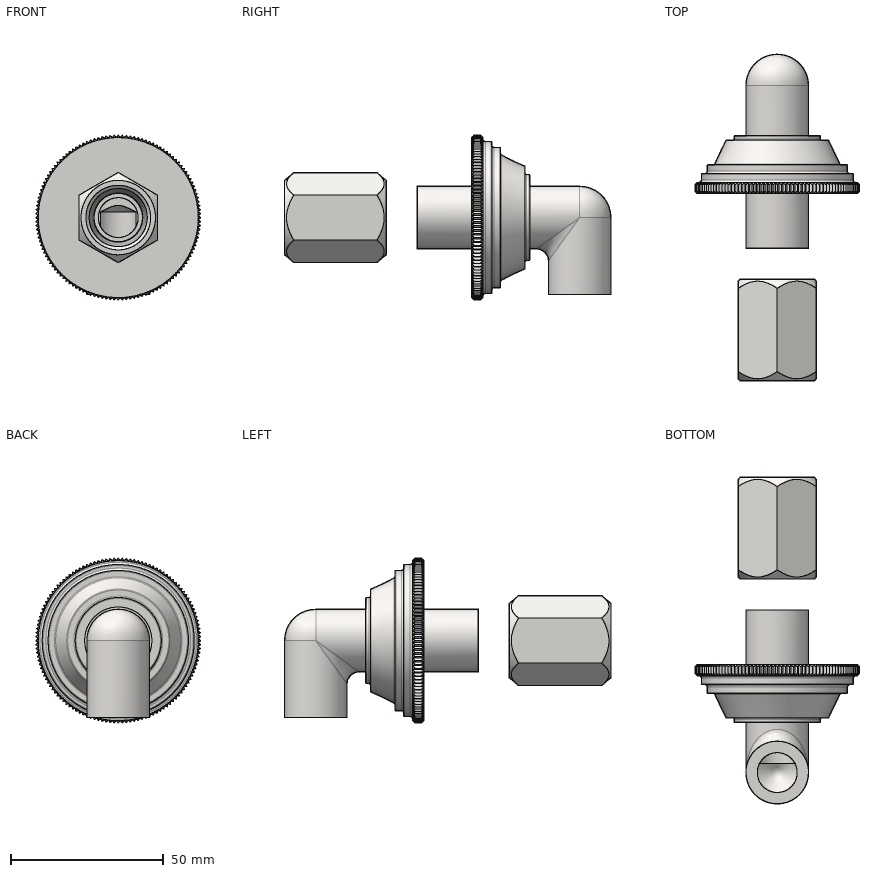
import cadquery as cq
import math


TUBE_RADIUS = 10.3
TUBE_BORE_RADIUS = 6.5
TUBE_MOUTH_RADIUS = 7.9
TUBE_END_Y = -17.9
TUBE_MOUTH_DEPTH = -TUBE_END_Y
LEG_AXIS_Y = 35.4
LEG_BOTTOM_Z = -25.3
INNER_CORNER_RADIUS = 3.9
BORE_SETBACK = 2.9
LEG_BORE_TOP_Z = 1.8
DRILL_POINT_ANGLE = 118

KNURL_DIAMETER = 54.0
KNURL_RADIUS = KNURL_DIAMETER / 2
KNURL_ROOT_RADIUS = 26.2
KNURL_WIDTH = 3.7
KNURL_CHAMFER = 0.9
TOOTH_COUNT = 128
WIDE_STEP_RADIUS = 24.9
WIDE_STEP_BACK_Y = 6.6
NARROW_STEP_RADIUS = 23.0
NARROW_STEP_BACK_Y = 9.5
CONE_BASE_RADIUS = 20.7
CONE_TOP_RADIUS = 16.8
CONE_TOP_Y = 17.5
COLLAR_RADIUS = 14.1
COLLAR_BACK_Y = 19.0
FLANGE_HOLE_RADIUS = 11.0
STEP_FILLET = 0.7
CONE_FILLET = 0.4
EDGE_ROUND = 0.3

NUT_WIDTH = 25.6
HEXAGON_TURN = 30
NUT_FRONT_Y = -61.3
NUT_BACK_Y = -27.9
NUT_FACE_RADIUS = 12.2
NUT_CHAMFER_ANGLE = 40
NUT_MOUTH_RADIUS = 10.6
NUT_MOUTH_DEPTH = 1.1
NUT_BORE_FRONT_RADIUS = 9.5
NUT_BORE_BACK_RADIUS = 8.0


def revolved(profile):
    """Turn a closed outline of (radius, y) points about the Y axis."""
    return cq.Workplane("XY").polyline(profile).close().revolve(360, (0, 0, 0), (0, 1, 0))


def cylinder_y(radius, start, end):
    return revolved([(0, start), (radius, start), (radius, end), (0, end)])


def make_elbow():
    leg_plane = cq.Workplane("XY", origin=(0, LEG_AXIS_Y, LEG_BOTTOM_Z))
    tube = cylinder_y(TUBE_RADIUS, TUBE_END_Y, LEG_AXIS_Y)
    leg = leg_plane.circle(TUBE_RADIUS).extrude(-LEG_BOTTOM_Z)
    corner = cq.Workplane("XY").sphere(TUBE_RADIUS).translate((0, LEG_AXIS_Y, 0))
    body = tube.union(leg).union(corner)
    inner = cq.NearestToPointSelector((0, LEG_AXIS_Y - TUBE_RADIUS, -TUBE_RADIUS))
    body = body.edges(inner).fillet(INNER_CORNER_RADIUS)

    tube_bore = cylinder_y(TUBE_BORE_RADIUS, TUBE_END_Y, LEG_AXIS_Y - BORE_SETBACK)
    mouth = cylinder_y(TUBE_MOUTH_RADIUS, TUBE_END_Y, TUBE_END_Y + TUBE_MOUTH_DEPTH)
    point_height = TUBE_BORE_RADIUS / math.tan(math.radians(DRILL_POINT_ANGLE / 2))
    leg_bore = (
        cq.Workplane("XZ")
        .moveTo(0, LEG_BOTTOM_Z)
        .lineTo(TUBE_BORE_RADIUS, LEG_BOTTOM_Z)
        .lineTo(TUBE_BORE_RADIUS, LEG_BORE_TOP_Z)
        .lineTo(0, LEG_BORE_TOP_Z + point_height)
        .close()
        .revolve(360, (0, 0, 0), (0, 1, 0))
        .translate((0, LEG_AXIS_Y, 0))
    )
    return body.cut(mouth).cut(tube_bore).cut(leg_bore)


def circle_edges(body, radius, y):
    """Select the circular edge of the given radius in the plane at y."""
    near = 0.01
    return body.edges("%CIRCLE").filter(
        lambda edge: abs(edge.radius() - radius) < near and abs(edge.Center().y - y) < near
    )


def make_stepped_flange():
    body = revolved([
        (0, 0),
        (KNURL_ROOT_RADIUS, 0),
        (KNURL_ROOT_RADIUS, KNURL_WIDTH),
        (WIDE_STEP_RADIUS, KNURL_WIDTH),
        (WIDE_STEP_RADIUS, WIDE_STEP_BACK_Y),
        (NARROW_STEP_RADIUS, WIDE_STEP_BACK_Y),
        (NARROW_STEP_RADIUS, NARROW_STEP_BACK_Y),
        (CONE_BASE_RADIUS, NARROW_STEP_BACK_Y),
        (CONE_TOP_RADIUS, CONE_TOP_Y),
        (COLLAR_RADIUS, CONE_TOP_Y),
        (COLLAR_RADIUS, COLLAR_BACK_Y),
        (0, COLLAR_BACK_Y),
    ])
    rounded_edges = [
        (WIDE_STEP_RADIUS, KNURL_WIDTH, STEP_FILLET),
        (NARROW_STEP_RADIUS, WIDE_STEP_BACK_Y, STEP_FILLET),
        (CONE_BASE_RADIUS, NARROW_STEP_BACK_Y, CONE_FILLET),
        (COLLAR_RADIUS, CONE_TOP_Y, CONE_FILLET),
        (WIDE_STEP_RADIUS, WIDE_STEP_BACK_Y, EDGE_ROUND),
        (NARROW_STEP_RADIUS, NARROW_STEP_BACK_Y, EDGE_ROUND),
        (CONE_TOP_RADIUS, CONE_TOP_Y, EDGE_ROUND),
        (COLLAR_RADIUS, COLLAR_BACK_Y, EDGE_ROUND),
    ]
    for radius, y, rounding in rounded_edges:
        body = circle_edges(body, radius, y).fillet(rounding)
    return body


def make_knurl():
    """Ring of triangular teeth, chamfered at both ends."""
    half_pitch = math.pi / TOOTH_COUNT
    outline = []
    for corner in range(2 * TOOTH_COUNT):
        radius = KNURL_RADIUS if corner % 2 == 0 else KNURL_ROOT_RADIUS
        angle = corner * half_pitch
        outline.append((radius * math.cos(angle), radius * math.sin(angle)))
    teeth = cq.Workplane("XZ").polyline(outline).close().extrude(-KNURL_WIDTH)
    blank = cylinder_y(KNURL_RADIUS, 0, KNURL_WIDTH).faces("<Y or >Y").chamfer(KNURL_CHAMFER)
    return teeth.intersect(blank)


def make_flange():
    tube_hole = cylinder_y(FLANGE_HOLE_RADIUS, 0, COLLAR_BACK_Y)
    return make_stepped_flange().union(make_knurl()).cut(tube_hole)


def make_nut():
    corner_radius = NUT_WIDTH / math.sqrt(3)
    chamfer_length = (corner_radius - NUT_FACE_RADIUS) / math.tan(math.radians(NUT_CHAMFER_ANGLE))
    hexagon = (
        cq.Workplane("XZ", origin=(0, NUT_BACK_Y, 0))
        .polygon(6, 2 * corner_radius)
        .extrude(NUT_BACK_Y - NUT_FRONT_Y)
        .rotate((0, 0, 0), (0, 1, 0), HEXAGON_TURN)
    )
    chamfered_blank = revolved([
        (0, NUT_FRONT_Y),
        (NUT_FACE_RADIUS, NUT_FRONT_Y),
        (corner_radius, NUT_FRONT_Y + chamfer_length),
        (corner_radius, NUT_BACK_Y - chamfer_length),
        (NUT_FACE_RADIUS, NUT_BACK_Y),
        (0, NUT_BACK_Y),
    ])
    bore = revolved([
        (0, NUT_FRONT_Y),
        (NUT_MOUTH_RADIUS, NUT_FRONT_Y),
        (NUT_BORE_FRONT_RADIUS, NUT_FRONT_Y + NUT_MOUTH_DEPTH),
        (NUT_BORE_BACK_RADIUS, NUT_BACK_Y),
        (0, NUT_BACK_Y),
    ])
    return hexagon.intersect(chamfered_blank).cut(bore)


elbow = make_elbow()
flange = make_flange()
nut = make_nut()
result = cq.Compound.makeCompound([body.solids().val() for body in (elbow, flange, nut)])